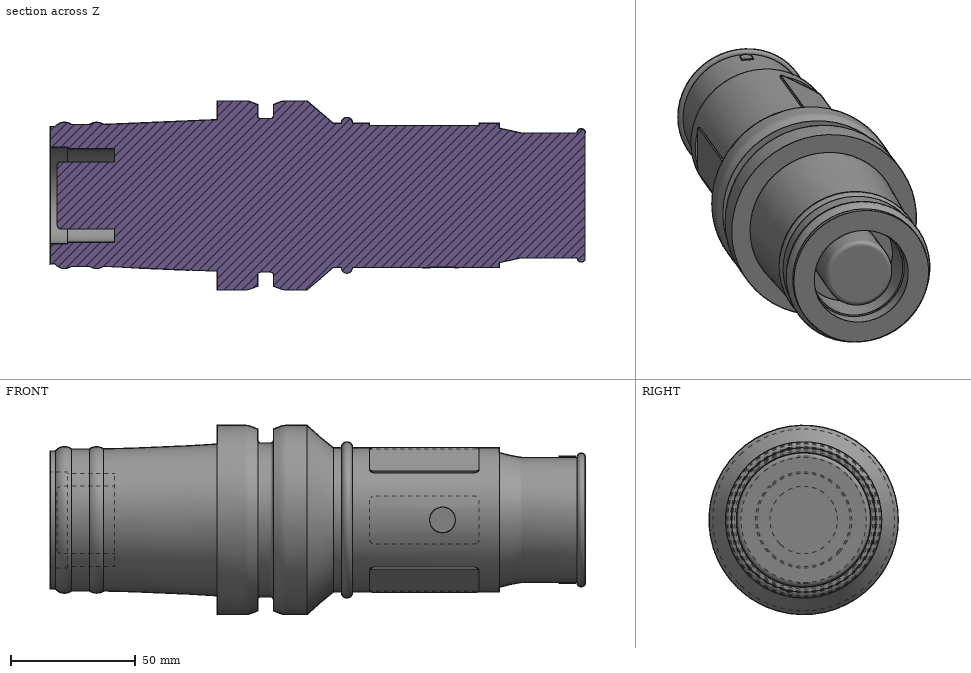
import cadquery as cq

LENGTH = 215.1

NOSE_RADIUS = 27.8
NOSE_LENGTH = 2.2
SPIGOT_RADIUS = 28.6
SPIGOT_BEAD_RADIUS = 29.5
FIRST_BEAD_END = 8.5
SECOND_BEAD_START = 16.0
SECOND_BEAD_END = 21.5
TAPER_END_RADIUS = 30.5

COLLAR_RADIUS = 38.0
COLLAR_START = 67.1
GROOVE_START = 83.5
GROOVE_END = 89.7
GROOVE_RADIUS = 31.0
GROOVE_CORNER = 1.0
RIM_RADIUS = 36.5
RIM_BEVEL_RADIUS = 37.6
RIM_BEVEL_WIDTH = 2.8
RIM_BLEND_WIDTH = 2.2
COLLAR_CONE_START = 103.3
COLLAR_CONE_END = 113.8

BARREL_RADIUS = 29.0
BARREL_BEAD_START = 117.0
BARREL_BEAD_END = 121.5
BARREL_BEAD_RADIUS = 31.5
BARREL_END = 180.5

TAIL_TAPER_RADIUS = 27.1
NECK_START = 189.3
NECK_RADIUS = 25.2
END_BEAD_RADIUS = 1.7

SOCKET_RADIUS = 19.4
SOCKET_STEP_DEPTH = 7.0
SOCKET_INNER_RADIUS = 18.7
SOCKET_DEPTH = 25.8
POST_RADIUS = 13.5
POST_RECESS = 2.8
POST_ROUNDING = 1.7

PAD_COUNT = 3
FIRST_PAD_ANGLE = 30
PAD_LENGTH = 44.0
PAD_WIDTH = 19.1
PAD_CENTER_X = 150.4
PAD_HEIGHT = 28.2
PAD_CORNER = 2.0

SPOT_RADIUS = 5.2
SPOT_CENTER_X = 157.7
SPOT_HEIGHT = 28.8

ARROW_START = 204.5
ARROW_SHOULDER = 208.7
ARROW_TIP = 211.0
ARROW_WIDTH = 4.7
ARROW_HEIGHT = 25.5

ROOT_RADIUS = 21.5


def add_bead(profile, start, end, start_radius, crest_radius, end_radius):
    """Continue the profile with a rounded bead from start to end."""
    crest = ((start + end) / 2, crest_radius)
    return profile.lineTo(start, start_radius).threePointArc(crest, (end, end_radius))


def make_body():
    """Revolve the outer profile, drawn as (x, radius), about the X axis."""
    profile = cq.Workplane("XY").moveTo(0, 0).lineTo(0, NOSE_RADIUS)
    profile = add_bead(
        profile, NOSE_LENGTH, FIRST_BEAD_END, NOSE_RADIUS, SPIGOT_BEAD_RADIUS, SPIGOT_RADIUS
    )
    profile = add_bead(
        profile, SECOND_BEAD_START, SECOND_BEAD_END, SPIGOT_RADIUS, SPIGOT_BEAD_RADIUS, SPIGOT_RADIUS
    )

    first_bevel = GROOVE_START - RIM_BEVEL_WIDTH
    second_bevel = GROOVE_END + RIM_BEVEL_WIDTH
    profile = (
        profile.lineTo(COLLAR_START, TAPER_END_RADIUS)
        .lineTo(COLLAR_START, COLLAR_RADIUS)
        .lineTo(first_bevel - RIM_BLEND_WIDTH, COLLAR_RADIUS)
        .tangentArcPoint((first_bevel, RIM_BEVEL_RADIUS), relative=False)
        .lineTo(GROOVE_START, RIM_RADIUS)
        .lineTo(GROOVE_START, GROOVE_RADIUS + GROOVE_CORNER)
        .tangentArcPoint((GROOVE_START + GROOVE_CORNER, GROOVE_RADIUS), relative=False)
        .lineTo(GROOVE_END - GROOVE_CORNER, GROOVE_RADIUS)
        .tangentArcPoint((GROOVE_END, GROOVE_RADIUS + GROOVE_CORNER), relative=False)
        .lineTo(GROOVE_END, RIM_RADIUS)
        .lineTo(second_bevel, RIM_BEVEL_RADIUS)
        .tangentArcPoint((second_bevel + RIM_BLEND_WIDTH, COLLAR_RADIUS), relative=False)
        .lineTo(COLLAR_CONE_START, COLLAR_RADIUS)
        .lineTo(COLLAR_CONE_END, BARREL_RADIUS)
    )

    profile = add_bead(
        profile, BARREL_BEAD_START, BARREL_BEAD_END, BARREL_RADIUS, BARREL_BEAD_RADIUS, BARREL_RADIUS
    )
    profile = (
        profile.lineTo(BARREL_END, BARREL_RADIUS)
        .lineTo(BARREL_END, TAIL_TAPER_RADIUS)
        .lineTo(NECK_START, NECK_RADIUS)
    )
    profile = add_bead(
        profile,
        LENGTH - 2 * END_BEAD_RADIUS,
        LENGTH,
        NECK_RADIUS,
        NECK_RADIUS + END_BEAD_RADIUS,
        NECK_RADIUS,
    )
    return profile.lineTo(LENGTH, 0).close().revolve(360, (0, 0, 0), (1, 0, 0))


def make_socket():
    """Ring-shaped hollow of the stepped socket, leaving the rounded post standing."""
    face = cq.Workplane("YZ")
    hollow = face.circle(SOCKET_RADIUS).extrude(SOCKET_STEP_DEPTH)
    hollow = hollow.union(face.circle(SOCKET_INNER_RADIUS).extrude(SOCKET_DEPTH))
    post = (
        face.workplane(offset=POST_RECESS)
        .circle(POST_RADIUS)
        .extrude(SOCKET_DEPTH - POST_RECESS)
        .faces("<X")
        .edges()
        .fillet(POST_ROUNDING)
    )
    return hollow.cut(post)


def make_pad(bottom, top):
    """Rounded rectangular block on the +Z side between two heights."""
    return (
        cq.Workplane("XY", origin=(PAD_CENTER_X, 0, bottom))
        .rect(PAD_LENGTH, PAD_WIDTH)
        .extrude(top - bottom)
        .edges("|Z")
        .fillet(PAD_CORNER)
    )


def make_spot(bottom, top):
    """Round block on the -Y side between two distances from the axis."""
    plane = cq.Workplane("XZ", origin=(SPOT_CENTER_X, -bottom, 0))
    return plane.circle(SPOT_RADIUS).extrude(top - bottom)


def make_arrow():
    """Flat-topped arrow on the +Z side of the neck."""
    half_width = ARROW_WIDTH / 2
    outline = [
        (ARROW_START, -half_width),
        (ARROW_SHOULDER, -half_width),
        (ARROW_TIP, 0),
        (ARROW_SHOULDER, half_width),
        (ARROW_START, half_width),
    ]
    plane = cq.Workplane("XY", origin=(0, 0, ROOT_RADIUS))
    return plane.polyline(outline).close().extrude(ARROW_HEIGHT - ROOT_RADIUS)


def turn_about_axis(shape, angle):
    return shape.rotate((0, 0, 0), (1, 0, 0), angle)


result = make_body().cut(make_socket())

pad_space = make_pad(PAD_HEIGHT, COLLAR_RADIUS)
pad_block = make_pad(ROOT_RADIUS, PAD_HEIGHT)
for index in range(PAD_COUNT):
    pad_angle = FIRST_PAD_ANGLE + index * 360 / PAD_COUNT
    result = result.cut(turn_about_axis(pad_space, pad_angle))
    result = result.union(turn_about_axis(pad_block, pad_angle))

result = result.cut(make_spot(SPOT_HEIGHT, COLLAR_RADIUS))
result = result.union(make_spot(ROOT_RADIUS, SPOT_HEIGHT))

for arrow_angle in (0, 180):
    result = result.union(turn_about_axis(make_arrow(), arrow_angle))